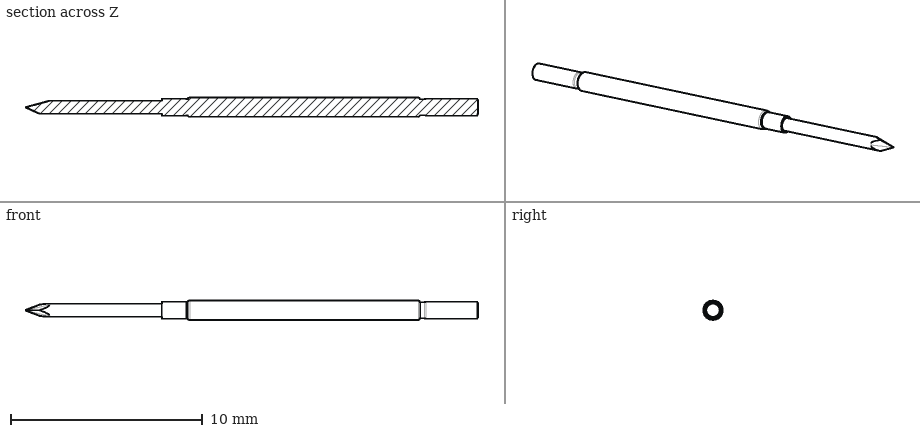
import cadquery as cq

plunger_diameter = 0.69
collar_diameter = 0.89
neck_diameter = 0.86
barrel_diameter = 1.02
tail_diameter = 0.89

collar_start = 7.1
front_neck_start = 8.37
barrel_start = 8.45
barrel_end = 20.58
tail_start = 20.80
overall_length = 23.62

barrel_edge_radius = 0.1
tail_front_chamfer = 0.08
tail_end_length = 0.06
tail_end_drop = 0.10

side_count = 3
flat_length = 1.24
flat_tilt = 6
tip_half_width = 0.01


def cylinder_between(start, end, diameter):
    """Round bar on the X axis from one station to another."""
    return cq.Workplane("YZ", origin=(start, 0, 0)).circle(diameter / 2).extrude(end - start)


def make_plunger():
    """Thin front rod, long enough to be cut to a point, with the collar behind it."""
    rod = cylinder_between(0, collar_start, plunger_diameter)
    collar = cylinder_between(collar_start, front_neck_start, collar_diameter)
    return rod.union(collar)


def make_barrel():
    """Main body with softened end rims, between two short necks."""
    front_neck = cylinder_between(front_neck_start, barrel_start, neck_diameter)
    body = cylinder_between(barrel_start, barrel_end, barrel_diameter)
    body = body.faces("<X or >X").edges().fillet(barrel_edge_radius)
    rear_neck = cylinder_between(barrel_end, tail_start, neck_diameter)
    return front_neck.union(body).union(rear_neck)


def make_tail():
    """Rear pin."""
    radius = tail_diameter / 2
    outline = cq.Workplane("XY").polyline([
        (tail_start, 0),
        (tail_start, neck_diameter / 2),
        (tail_start + tail_front_chamfer, radius),
        (overall_length - tail_end_length, radius),
        (overall_length, radius - tail_end_drop),
        (overall_length, 0),
    ]).close()
    return outline.revolve(360, (0, 0, 0), (1, 0, 0))


def flat_cutter(angle):
    """Wedge above a plane rising from the tip to the plunger surface, turned about X."""
    radius = plunger_diameter / 2
    wedge = cq.Workplane("XY").polyline([
        (0, tip_half_width),
        (flat_length, radius),
        (0, radius),
    ]).close()
    wedge = wedge.extrude(plunger_diameter, both=True)
    return wedge.rotate((0, 0, 0), (1, 0, 0), angle)


result = make_plunger().union(make_barrel()).union(make_tail())
for side in range(side_count):
    side_angle = side * 360 / side_count
    for tilt in (-flat_tilt, flat_tilt):
        result = result.cut(flat_cutter(side_angle + tilt))